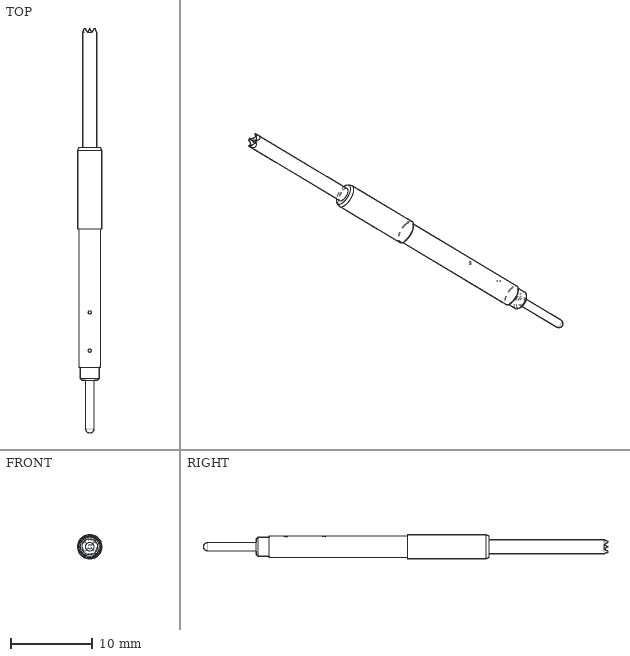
import cadquery as cq
import math

PLUNGER_LENGTH = 14.65
COLLAR_LENGTH = 10.05
BARREL_LENGTH = 17.0
NECK_LENGTH = 1.6
PIN_LENGTH = 6.5

PLUNGER_DIAMETER = 1.75
COLLAR_DIAMETER = 3.0
BARREL_DIAMETER = 2.65
NECK_DIAMETER = 2.35
PIN_DIAMETER = 1.05

COLLAR_CHAMFER_LENGTH = 0.4
COLLAR_CHAMFER_DEPTH = 0.15
NECK_CHAMFER = 0.2
PIN_DOME_HEIGHT = 0.5

CROWN_GROOVE_RADIUS = 0.5
SPIKE_DIAMETER = 1.0

DIMPLE_DIAMETER = 0.4
DIMPLE_DEPTH = 0.15
DIMPLE_STATIONS = (-20.3, -25.0)

COLLAR_END = -COLLAR_LENGTH
BARREL_END = COLLAR_END - BARREL_LENGTH
NECK_END = BARREL_END - NECK_LENGTH
SPIKE_BASE = PLUNGER_LENGTH - 2 * CROWN_GROOVE_RADIUS
PIN_END = NECK_END - PIN_LENGTH


def cylinder(diameter, y_start, y_end):
    """Cylinder on the Y axis between two stations, y_start being the higher one."""
    return (
        cq.Workplane("XZ", origin=(0, y_start, 0))
        .circle(diameter / 2)
        .extrude(y_start - y_end)
    )


def make_plunger():
    plunger = cylinder(PLUNGER_DIAMETER, PLUNGER_LENGTH, 0)
    groove = (
        cq.Workplane("XY", origin=(0, PLUNGER_LENGTH, 0))
        .circle(CROWN_GROOVE_RADIUS)
        .extrude(PLUNGER_DIAMETER, both=True)
    )
    for angle in (0, 90):
        plunger = plunger.cut(groove.rotate((0, 0, 0), (0, 1, 0), angle))
    spike = (
        cq.Workplane("XY")
        .moveTo(0, SPIKE_BASE)
        .lineTo(SPIKE_DIAMETER / 2, SPIKE_BASE)
        .lineTo(0, PLUNGER_LENGTH)
        .close()
        .revolve(360, (0, 0, 0), (0, 1, 0))
    )
    return plunger.union(spike)


def make_collar():
    radius = COLLAR_DIAMETER / 2
    return (
        cq.Workplane("XY")
        .moveTo(0, 0)
        .lineTo(radius - COLLAR_CHAMFER_DEPTH, 0)
        .lineTo(radius, -COLLAR_CHAMFER_LENGTH)
        .lineTo(radius, COLLAR_END)
        .lineTo(0, COLLAR_END)
        .close()
        .revolve(360, (0, 0, 0), (0, 1, 0))
    )


def make_barrel():
    barrel = cylinder(BARREL_DIAMETER, COLLAR_END, BARREL_END)
    neck = cylinder(NECK_DIAMETER, BARREL_END, NECK_END).faces("<Y").chamfer(NECK_CHAMFER)
    for station in DIMPLE_STATIONS:
        dimple = (
            cq.Workplane("XY", origin=(0, station, BARREL_DIAMETER / 2 - DIMPLE_DEPTH))
            .circle(DIMPLE_DIAMETER / 2)
            .extrude(BARREL_DIAMETER)
        )
        barrel = barrel.cut(dimple)
    return barrel.union(neck)


def make_pin():
    radius = PIN_DIAMETER / 2
    dome_start = PIN_END + PIN_DOME_HEIGHT
    dome_radius = (radius**2 + PIN_DOME_HEIGHT**2) / (2 * PIN_DOME_HEIGHT)
    half_angle = math.asin(radius / dome_radius) / 2
    dome_mid = (
        dome_radius * math.sin(half_angle),
        PIN_END + dome_radius * (1 - math.cos(half_angle)),
    )
    return (
        cq.Workplane("XY")
        .moveTo(0, NECK_END)
        .lineTo(radius, NECK_END)
        .lineTo(radius, dome_start)
        .threePointArc(dome_mid, (0, PIN_END))
        .close()
        .revolve(360, (0, 0, 0), (0, 1, 0))
    )


result = make_collar().union(make_plunger()).union(make_barrel()).union(make_pin())